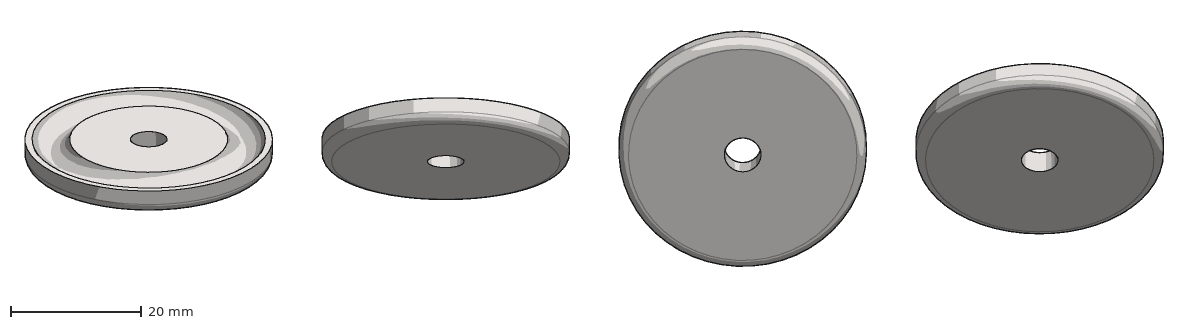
import cadquery as cq

outer_diameter = 38.0
thickness = 3.75
hole_diameter = 5.6
bottom_edge_radius = 1.5
rim_width = 1.1
hub_diameter = 24.25
groove_depth = 2.28

groove_inner_radius = hub_diameter / 2
groove_outer_radius = outer_diameter / 2 - rim_width
groove_middle_radius = (groove_inner_radius + groove_outer_radius) / 2


def make_disc():
    """Flat disc with a rounded bottom edge and its underside at Z = 0."""
    disc = cq.Workplane("XY").circle(outer_diameter / 2).extrude(thickness)
    return disc.faces("<Z").edges().fillet(bottom_edge_radius)


def make_groove():
    """Ring with an arc-shaped cross-section, revolved about the Z axis."""
    return (
        cq.Workplane("XZ")
        .moveTo(groove_inner_radius, thickness)
        .threePointArc(
            (groove_middle_radius, thickness - groove_depth),
            (groove_outer_radius, thickness),
        )
        .close()
        .revolve(360, (0, 0, 0), (0, 1, 0))
    )


def make_hole():
    """Central through hole."""
    return cq.Workplane("XY").circle(hole_diameter / 2).extrude(thickness)


result = make_disc().cut(make_groove()).cut(make_hole())